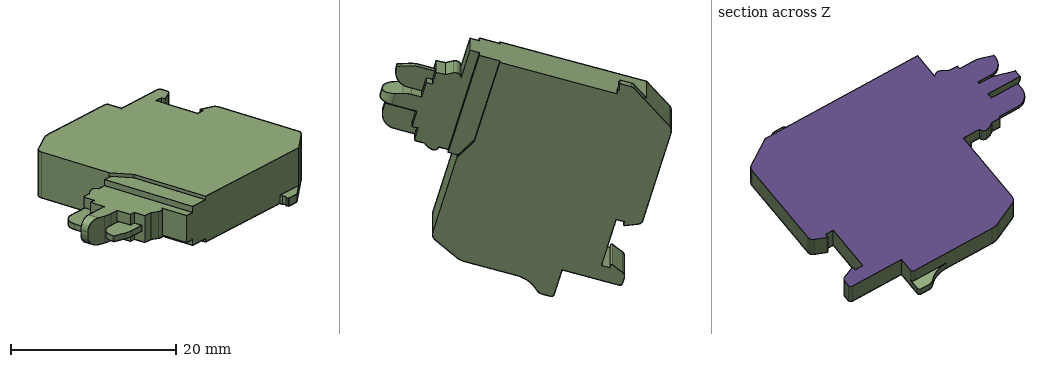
import cadquery as cq
import math


OVERALL_HEIGHT = 34.85

THICKNESS = 6.05
MID_Z = THICKNESS / 2
BODY_WIDTH = 26.6
BODY_HEIGHT = 23.98
CORNER_RADIUS = 1.0
SHOULDER_Y = 16.45
ARM_X = 2.25
EDGE_RADIUS = 0.35
LOW_CHAMFER_X = 2.02
LOW_CHAMFER_Y = 4.2
LOW_CHAMFER_RADIUS = 2.37
TOP_SLOPE_X = 23.98
SLOPE_RUN_PER_DROP = 0.65

NOTCH_X = 7.35
NOTCH_HALF_WIDTH = 3.17
NOTCH_FLOOR_Y = 20.85
LIP_Y = 21.9
LIP_HALF_GAP = 2.6
MOUTH_HALF_GAP = 3.52
MOUTH_RADIUS = 0.7
LIP_RADIUS = 0.15

TAB_THICKNESS = 1.08
TAB_OVERLAP = 0.7
LEFT_TAB_REACH = 1.5
LEFT_TAB_RADIUS = 1.0
LEFT_TAB_FLARE_RADIUS = 4.0
LEFT_TAB_BLEND_Y = 11.4
RIGHT_TAB_REACH = 1.4
RIGHT_TAB_LOW_Y = 16.2
RIGHT_TAB_RADIUS = 0.7
DETENT_WIDTH = 0.52
DETENT_HEIGHT = 0.15
DETENT_OFFSET = 0.42
TIP_WIDTH = 0.3
TIP_DROP = 0.1

BLOCK_THICKNESS = 5.15
BLOCK_X = 13.17
BLOCK_LOW_Y = -1.15
RECESS_TOP_Y = 1.43
RECESS_START_X = 13.0
RECESS_TOP_X = 15.68

PLUG_THICKNESS = 3.55
FLANGE_LOW_Y = -2.35
PLUG_LOW_Y = -5.45
PLUG_RIGHT_X = 22.6
PLUG_CORNER_RADIUS = 0.2
LEFT_BUMP_SHOULDER = (12.75, -2.55)
LEFT_BUMP_PEAK = (12.6, -2.95)
LEFT_BUMP_UPPER_BEND = (12.72, -3.38)
LEFT_BUMP_LOWER_BEND = (12.85, -3.7)
LEFT_BUMP_LOW_Y = -4.15
RIGHT_BUMP_TOP_X = 22.83
RIGHT_BUMP_PEAK = (23.2, -2.8)
RIGHT_BUMP_BEND = (23.15, -3.4)
RIGHT_BUMP_LOW = (22.65, -4.25)
STEP_LEFT_X = 14.88
STEP_RIGHT_X = 20.98
STEP_LOW_Y = -6.2

TAPER_Y = -8.0
TAPER_RADIUS = 3.5
FIN_LEFT_X = 17.0
FIN_RIGHT_X = 18.95
FIN_TIP_X = 18.05
FIN_END_RADIUS = 1.5
FIN_LOW_Y = BODY_HEIGHT - OVERALL_HEIGHT
BLADE_THICKNESS = 0.75
BLADE_RADIUS = 2.0
BLADE_LOW_Y = -10.05
LEFT_BLADE_X = 13.4
LEFT_BLADE_END_X = 16.35
RIGHT_BLADE_X = 19.17
RIGHT_BLADE_END_X = 22.13
RIGHT_BLADE_TIP_X = 21.45


def round_corner(solid, x, y, radius):
    """Fillet the edge parallel to Z that stands at (x, y)."""
    edge = cq.selectors.NearestToPointSelector((x, y, solid.val().Center().z))
    return solid.edges("|Z").edges(edge).fillet(radius)


def centred_prism(points, thickness):
    """Extrude an XY outline symmetrically about the middle of the thickness."""
    return (
        cq.Workplane("XY")
        .workplane(offset=MID_Z - thickness / 2)
        .polyline(points)
        .close()
        .extrude(thickness)
    )


def notch_side(direction):
    """Half of the rail notch, from its mouth to its floor; direction is -1 (left) or 1."""
    return [
        (NOTCH_X + direction * MOUTH_HALF_GAP, BODY_HEIGHT),
        (NOTCH_X + direction * LIP_HALF_GAP, LIP_Y),
        (NOTCH_X + direction * NOTCH_HALF_WIDTH, LIP_Y),
        (NOTCH_X + direction * NOTCH_HALF_WIDTH, NOTCH_FLOOR_Y),
    ]


def slope_y(x):
    """Height of the sloping upper right edge at x."""
    return BODY_HEIGHT - (x - TOP_SLOPE_X) / SLOPE_RUN_PER_DROP


def make_housing():
    left_notch = notch_side(-1)
    right_notch = notch_side(1)
    outline = [
        (0, LOW_CHAMFER_Y),
        (0, SHOULDER_Y),
        (ARM_X, SHOULDER_Y),
        (ARM_X, BODY_HEIGHT),
        *left_notch,
        *reversed(right_notch),
        (TOP_SLOPE_X, BODY_HEIGHT),
        (BODY_WIDTH, slope_y(BODY_WIDTH)),
        (BODY_WIDTH, RECESS_TOP_Y),
        (RECESS_TOP_X, RECESS_TOP_Y),
        (RECESS_START_X, 0),
        (LOW_CHAMFER_X, 0),
    ]
    housing = centred_prism(outline, THICKNESS)
    rounds = [
        (0, SHOULDER_Y, EDGE_RADIUS),
        (0, LOW_CHAMFER_Y, LOW_CHAMFER_RADIUS),
        (LOW_CHAMFER_X, 0, CORNER_RADIUS),
        (ARM_X, BODY_HEIGHT, EDGE_RADIUS),
        (TOP_SLOPE_X, BODY_HEIGHT, CORNER_RADIUS),
    ]
    for mouth, lip, *_ in (left_notch, right_notch):
        rounds.append((*mouth, MOUTH_RADIUS))
        rounds.append((*lip, LIP_RADIUS))
    for x, y, radius in rounds:
        housing = round_corner(housing, x, y, radius)
    return housing


def make_left_tab():
    def flare_point(degrees):
        angle = math.radians(degrees)
        return (
            -LEFT_TAB_FLARE_RADIUS * (1 - math.cos(angle)),
            LEFT_TAB_BLEND_Y + LEFT_TAB_FLARE_RADIUS * math.sin(angle),
        )

    flare_x, flare_y = flare_point(45)
    low_corner_y = flare_y + LEFT_TAB_REACH + flare_x
    tab = (
        cq.Workplane("XY")
        .moveTo(TAB_OVERLAP, SHOULDER_Y)
        .lineTo(-LEFT_TAB_REACH, SHOULDER_Y)
        .lineTo(-LEFT_TAB_REACH, low_corner_y)
        .lineTo(flare_x, flare_y)
        .threePointArc(flare_point(22.5), flare_point(0))
        .lineTo(TAB_OVERLAP, LEFT_TAB_BLEND_Y)
        .close()
        .extrude(TAB_THICKNESS)
    )
    tab = round_corner(tab, -LEFT_TAB_REACH, low_corner_y, LEFT_TAB_RADIUS)
    return round_corner(tab, -LEFT_TAB_REACH, SHOULDER_Y, EDGE_RADIUS)


def make_right_tab():
    outer_x = BODY_WIDTH + RIGHT_TAB_REACH
    inner_x = BODY_WIDTH - TAB_OVERLAP
    detent_x = BODY_WIDTH + DETENT_OFFSET
    tip_x = detent_x + DETENT_WIDTH
    tab = (
        cq.Workplane("XY")
        .moveTo(inner_x, slope_y(inner_x))
        .lineTo(outer_x, slope_y(outer_x))
        .lineTo(outer_x, RIGHT_TAB_LOW_Y)
        .lineTo(tip_x + TIP_WIDTH, RIGHT_TAB_LOW_Y)
        .threePointArc((tip_x + TIP_WIDTH / 2, RIGHT_TAB_LOW_Y - TIP_DROP), (tip_x, RIGHT_TAB_LOW_Y))
        .threePointArc(
            (detent_x + DETENT_WIDTH / 2, RIGHT_TAB_LOW_Y + DETENT_HEIGHT),
            (detent_x, RIGHT_TAB_LOW_Y),
        )
        .lineTo(inner_x, RIGHT_TAB_LOW_Y)
        .close()
        .extrude(TAB_THICKNESS)
    )
    return round_corner(tab, outer_x, slope_y(outer_x), RIGHT_TAB_RADIUS)


def make_block():
    outline = [
        (BLOCK_X, BLOCK_LOW_Y),
        (BODY_WIDTH, BLOCK_LOW_Y),
        (BODY_WIDTH, RECESS_TOP_Y),
        (RECESS_START_X, RECESS_TOP_Y),
        (RECESS_START_X, 0),
        (BLOCK_X, 0),
    ]
    return centred_prism(outline, BLOCK_THICKNESS)


def make_plug():
    plug = (
        cq.Workplane("XY")
        .workplane(offset=MID_Z - PLUG_THICKNESS / 2)
        .moveTo(BLOCK_X, BLOCK_LOW_Y)
        .lineTo(BLOCK_X, FLANGE_LOW_Y)
        .threePointArc(LEFT_BUMP_SHOULDER, LEFT_BUMP_PEAK)
        .lineTo(*LEFT_BUMP_UPPER_BEND)
        .lineTo(*LEFT_BUMP_LOWER_BEND)
        .lineTo(BLOCK_X, LEFT_BUMP_LOW_Y)
        .lineTo(BLOCK_X, PLUG_LOW_Y)
        .lineTo(STEP_LEFT_X, PLUG_LOW_Y)
        .lineTo(STEP_LEFT_X, STEP_LOW_Y)
        .lineTo(STEP_RIGHT_X, STEP_LOW_Y)
        .lineTo(STEP_RIGHT_X, PLUG_LOW_Y)
        .lineTo(PLUG_RIGHT_X, PLUG_LOW_Y)
        .lineTo(*RIGHT_BUMP_LOW)
        .lineTo(*RIGHT_BUMP_BEND)
        .threePointArc(RIGHT_BUMP_PEAK, (RIGHT_BUMP_TOP_X, FLANGE_LOW_Y))
        .lineTo(BODY_WIDTH, FLANGE_LOW_Y)
        .lineTo(BODY_WIDTH, BLOCK_LOW_Y)
        .close()
        .extrude(PLUG_THICKNESS)
    )
    return round_corner(plug, BLOCK_X, PLUG_LOW_Y, PLUG_CORNER_RADIUS)


def make_fin():
    outline = [
        (FIN_LEFT_X, STEP_LOW_Y),
        (FIN_RIGHT_X, STEP_LOW_Y),
        (FIN_RIGHT_X, TAPER_Y),
        (FIN_TIP_X, FIN_LOW_Y),
        (FIN_LEFT_X, FIN_LOW_Y),
    ]
    fin = centred_prism(outline, PLUG_THICKNESS)
    fin = round_corner(fin, FIN_RIGHT_X, TAPER_Y, TAPER_RADIUS)
    return fin.faces("<Y").edges("|X").fillet(FIN_END_RADIUS)


def make_left_blade():
    outline = [
        (LEFT_BLADE_X, PLUG_LOW_Y),
        (LEFT_BLADE_END_X, PLUG_LOW_Y),
        (LEFT_BLADE_END_X, BLADE_LOW_Y),
        (LEFT_BLADE_X, BLADE_LOW_Y),
    ]
    blade = centred_prism(outline, BLADE_THICKNESS)
    return round_corner(blade, LEFT_BLADE_X, BLADE_LOW_Y, BLADE_RADIUS)


def make_right_blade():
    outline = [
        (RIGHT_BLADE_X, PLUG_LOW_Y),
        (RIGHT_BLADE_END_X, PLUG_LOW_Y),
        (RIGHT_BLADE_END_X, TAPER_Y),
        (RIGHT_BLADE_TIP_X, BLADE_LOW_Y),
        (RIGHT_BLADE_X, BLADE_LOW_Y),
    ]
    blade = centred_prism(outline, BLADE_THICKNESS)
    blade = round_corner(blade, RIGHT_BLADE_X, BLADE_LOW_Y, BLADE_RADIUS)
    return round_corner(blade, RIGHT_BLADE_END_X, TAPER_Y, TAPER_RADIUS)


result = (
    make_housing()
    .union(make_left_tab())
    .union(make_right_tab())
    .union(make_block())
    .union(make_plug())
    .union(make_fin())
    .union(make_left_blade())
    .union(make_right_blade())
)